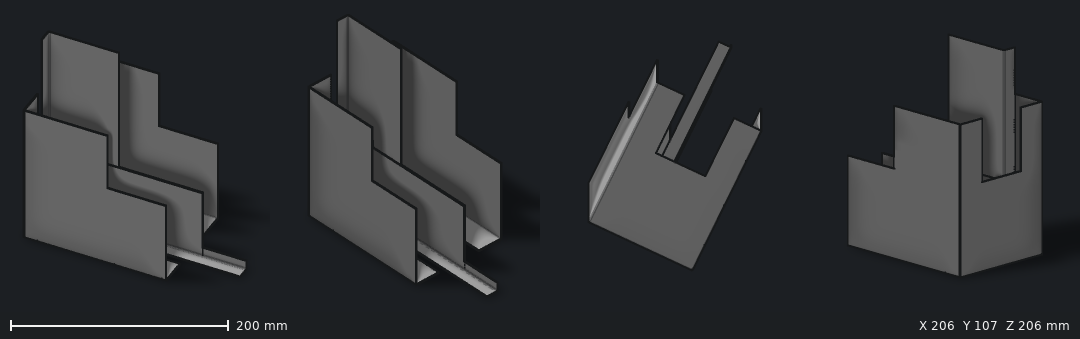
import cadquery as cq

sheet = 0.99
inner_bend = 0.2
outer_bend = 1.9

box_size = 147.0
box_width = 107.0
box_wall = 1.2
box_inner_bend = 0.2
box_bend = box_wall + box_inner_bend
seam_inset = 0.6
step = 86.7
slot_width = 50.3
slot_start = 86.1

overall = 206.0
bracket_offset = box_wall
plate_back = -4.3
rail_back = plate_back - sheet
flange_edge = -18.7
plate_leg = 74.2
plate_end = 160.9
rail_start = 35.5
rail_height = 11.5
notch_top = 80.8


def box(x_range, y_range, z_range):
    """Block between two limits along each axis."""
    limits = (x_range, y_range, z_range)
    size = [high - low for low, high in limits]
    corner = tuple(low for low, high in limits)
    return cq.Workplane("XY").box(*size, centered=False).translate(corner)


def make_housing():
    half = box_width / 2
    inner_half = half - box_wall
    shell = box((0, box_size), (-half, half), (0, box_size))
    shell = shell.edges("<Z and (not >X)").fillet(box_bend)
    inside = box((box_wall, box_size), (-inner_half, inner_half), (box_wall, box_size))
    inside = inside.edges("<Z and (not >X)").fillet(box_inner_bend)
    shell = shell.cut(inside)

    seam_line = half - seam_inset
    for seam in ((-half, -seam_line), (seam_line, half)):
        shell = shell.cut(box((0, box_wall), seam, (0, box_size)))

    shell = shell.cut(box((step, box_size), (-half, half), (step, box_size)))
    slot = (-slot_width / 2, slot_width / 2)
    shell = shell.cut(box((0, box_wall), slot, (slot_start, box_size)))
    return shell.cut(box((slot_start, box_size), slot, (0, box_wall)))


def make_corner_plate():
    """L-shaped web with a flange bent along its upright end."""
    web = (
        cq.Workplane("XZ", origin=(0, plate_back, 0))
        .moveTo(bracket_offset, notch_top)
        .lineTo(bracket_offset, overall)
        .lineTo(plate_leg, overall)
        .lineTo(plate_leg, plate_leg)
        .lineTo(plate_end, plate_leg)
        .lineTo(plate_end, bracket_offset)
        .lineTo(rail_start, bracket_offset)
        .lineTo(rail_start, notch_top)
        .close()
        .extrude(sheet)
    )
    flange = box(
        (bracket_offset, bracket_offset + sheet), (flange_edge, plate_back), (notch_top, overall)
    )
    plate = web.union(flange)
    middle = (notch_top + overall) / 2
    outer_corner = (bracket_offset, plate_back, middle)
    plate = plate.edges(cq.selectors.NearestToPointSelector(outer_corner)).fillet(outer_bend)
    inner_corner = (bracket_offset + sheet, plate_back - sheet, middle)
    return plate.edges(cq.selectors.NearestToPointSelector(inner_corner)).fillet(inner_bend)


def make_rail():
    """Angle on the floor, its web raised where it lies flat against the corner plate."""
    middle = (rail_start + overall) / 2
    span = (rail_start, overall)
    web = box(span, (rail_back - sheet, rail_back), (bracket_offset, rail_height))
    backing = box((rail_start, plate_end), (rail_back - sheet, rail_back), (bracket_offset, plate_leg))
    flange = box(span, (flange_edge, rail_back), (bracket_offset, bracket_offset + sheet))
    rail = web.union(backing).union(flange)
    outer_corner = (middle, rail_back, bracket_offset)
    rail = rail.edges(cq.selectors.NearestToPointSelector(outer_corner)).fillet(outer_bend)
    inner_corner = (middle, rail_back - sheet, bracket_offset + sheet)
    return rail.edges(cq.selectors.NearestToPointSelector(inner_corner)).fillet(inner_bend)


housing = make_housing()
corner_plate = make_corner_plate()
rail = make_rail()

result = cq.Compound.makeCompound([housing.val(), corner_plate.val(), rail.val()])